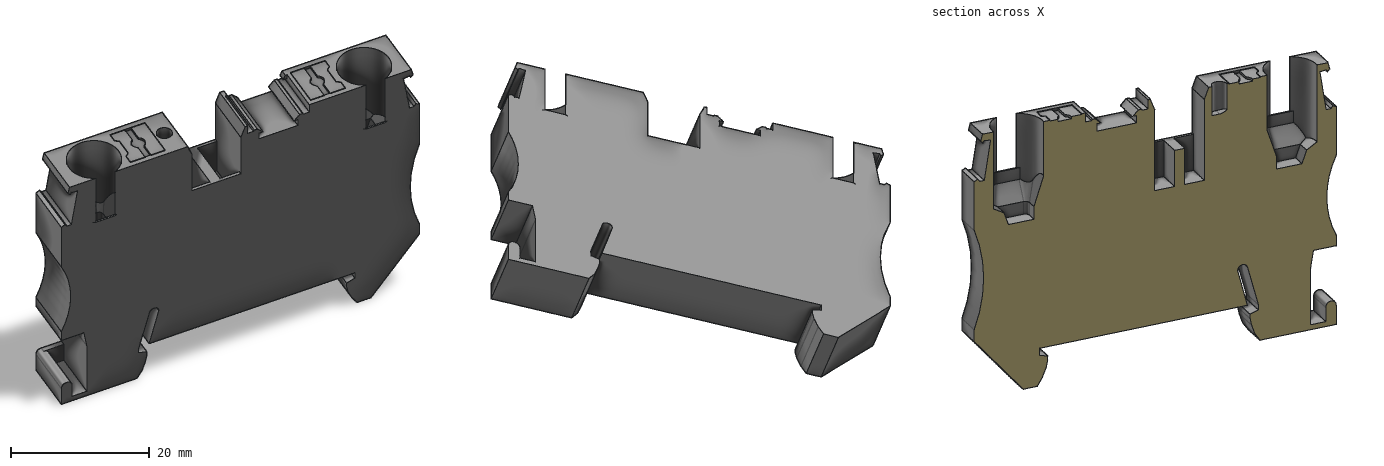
import cadquery as cq
import math

THICKNESS = 8.15
LENGTH = 57.75
HEIGHT = 42.2
END_Y = LENGTH / 2
SIDE_X = THICKNESS / 2

LEDGE_RIDGE_Z = 35.15
LEDGE_END_Z = 34.85
SCALLOP_TOP_Z = 27.1
SCALLOP_BOTTOM_Z = 11.2
FAR_SCALLOP_BOTTOM_Z = 14.3
SCALLOP_DEPTH = 1.5

SLOT_MIN_Y = -7.8
SLOT_MAX_Y = 0.05
SLOT_FLOOR_Z = 33.25
SLOT_FLARE = 0.7
SLOT_FLARE_Z = 40.4
POCKET_LENGTH = 3.1
POCKET_WIDTH = 7.15
POCKET_DEPTH = 5.8

MARKER_Y = 6.1
MARKER_WALL = 4.95
MARKER_SHELF_Z = 40.75
MARKER_LIP_Z = 40.0
MARKER_FLOOR_Z = 38.9
HOOK_Z = 41.45
HOOK_ROOT = 4.7
HOOK_REACH = 4.35
HOOK_WIDTH = 1.05

RAIL_CEILING_Z = 6.0

LUG_TOP_Z = 4.0
LUG_RADIUS = 0.85
LUG_INNER_Y = -24.75
LUG_WALL = 0.8
LUG_POCKET_FLOOR_Z = 0.85

ENTRY_X = 0.4
ENTRY_Y = 21.75
ENTRY_RADIUS = 4.0
ENTRY_DEPTH = 8.65
FUNNEL_DEPTH = 4.6
FUNNEL_MAX_X = 3.8
FUNNEL_SLOPE_MINUS_X = 51
FUNNEL_SLOPE_PLUS_X = 58
FUNNEL_SLOPE_OUTER = 30
FUNNEL_SLOPE_INNER = 71.5
FUNNEL_MOUTH_RADIUS = 2.0
WELL_HALF_WIDTH = 2.1
WELL_INNER_Y = 19.35
WELL_OUTER_Y = 24.1
WELL_RADIUS = 0.65
WELL_DEPTH = 2.0
WELL_SLOPE_OUTER = 70

PANEL_WIDTH = 6.45
PANEL_INNER_Y = 11.7
PANEL_OUTER_Y = 17.3
PANEL_DEPTH = 0.1
PANEL_NOTCH_MOUTH = 3.7
PANEL_NOTCH_FLOOR = 2.75
PANEL_NOTCH_DEPTH = 0.6
DRIVER_Y = 14.45
DRIVER_SLOT_WIDTH = 1.0
DRIVER_RADIUS = 1.05
DRIVER_DEPTH = 0.45

PROBE_Y = -10.2
PROBE_RADIUS = 1.15
PROBE_DEPTH = 4.6
PROBE_FLOOR_RADIUS = 1.75

QUARTER_MID = math.sqrt(0.5)


def extrude_side(outline, width=THICKNESS):
    """Extrude a closed Y-Z outline in +X from the -X side."""
    return outline.close().extrude(width).translate((-SIDE_X, 0, 0))


def end_points(side):
    """Points down one end, from the top face to the ledge; side is +1 or -1 in Y."""
    points = [
        (27.55, HEIGHT),
        (27.8, 41.1),
        (27.4, 40.7),
        (27.25, 41.05),
        (26.25, 40.95),
        (27.25, 34.75),
        (27.95, 34.75),
        (28.3, LEDGE_RIDGE_Z),
        (END_Y, LEDGE_END_Z),
        (END_Y, SCALLOP_TOP_Z),
    ]
    return [(side * y, z) for y, z in points]


def marker_points(side):
    """Points down one flank of the marker groove; side is +1 or -1 from its centre."""
    points = [
        (MARKER_WALL, HEIGHT),
        (MARKER_WALL, MARKER_SHELF_Z),
        (4.05, MARKER_SHELF_Z),
        (3.85, 40.95),
        (3.4, 40.95),
        (2.5, MARKER_LIP_Z),
        (3.1, MARKER_LIP_Z),
        (3.1, MARKER_FLOOR_Z),
    ]
    return [(MARKER_Y + side * offset, z) for offset, z in points]


def make_body():
    """Side outline, run from the marker groove over the +Y end, foot and -Y end and back."""
    scallop_y = END_Y - SCALLOP_DEPTH

    outline = cq.Workplane("YZ").polyline(marker_points(1)[::-1] + end_points(1))
    outline = outline.threePointArc(
        (scallop_y, (SCALLOP_TOP_Z + SCALLOP_BOTTOM_Z) / 2), (END_Y, SCALLOP_BOTTOM_Z)
    )
    for point in [
        (END_Y, 9.3),
        (21.0, 0),
        (18.75, 0),
        (17.95, 1.25),
        (17.3, 2.75),
        (17.1, 3.85),
        (17.1, 4.55),
        (18.4, 4.95),
        (18.4, RAIL_CEILING_Z),
        (-14.7, RAIL_CEILING_Z),
        (-13.15, 11.9),
    ]:
        outline = outline.lineTo(*point)
    outline = outline.threePointArc((-13.8, 12.65), (-14.65, 12.1))
    for point in [
        (-16.4, 5.8),
        (-16.4, 4.95),
        (-15.05, 4.55),
        (-15.05, 3.85),
        (-15.3, 2.75),
        (-15.8, 1.25),
        (-16.7, 0),
        (-END_Y, 0),
        (-END_Y, LUG_TOP_Z - LUG_RADIUS),
    ]:
        outline = outline.lineTo(*point)
    outline = outline.tangentArcPoint((LUG_RADIUS - END_Y, LUG_TOP_Z), relative=False)
    for point in [
        (LUG_INNER_Y, LUG_TOP_Z),
        (LUG_INNER_Y, 9.8),
        (-25.2, 12.6),
        (-END_Y, 12.6),
        (-END_Y, FAR_SCALLOP_BOTTOM_Z),
    ]:
        outline = outline.lineTo(*point)
    outline = outline.threePointArc(
        (-scallop_y, (SCALLOP_TOP_Z + FAR_SCALLOP_BOTTOM_Z) / 2), (-END_Y, SCALLOP_TOP_Z)
    )
    bridge_slot = [
        (SLOT_MIN_Y - SLOT_FLARE, HEIGHT),
        (SLOT_MIN_Y, SLOT_FLARE_Z),
        (SLOT_MIN_Y, SLOT_FLOOR_Z),
        (SLOT_MAX_Y, SLOT_FLOOR_Z),
        (SLOT_MAX_Y, SLOT_FLARE_Z),
        (SLOT_MAX_Y + SLOT_FLARE, HEIGHT),
    ]
    for point in end_points(-1)[-2::-1] + bridge_slot + marker_points(-1):
        outline = outline.lineTo(*point)
    return extrude_side(outline)


def make_hook(side):
    """Short hook over the marker groove, at the -X side only."""
    points = [
        (MARKER_WALL, HEIGHT),
        (HOOK_ROOT, HEIGHT),
        (HOOK_REACH, HOOK_Z),
        (MARKER_WALL, HOOK_Z),
    ]
    outline = cq.Workplane("YZ").polyline([(MARKER_Y + side * offset, z) for offset, z in points])
    return extrude_side(outline, HOOK_WIDTH)


def top_prism(outline, depth):
    """Cutter sunk into the top face from an X-Y outline drawn at Z = 0."""
    return outline.extrude(-depth).translate((0, 0, HEIGHT))


def make_pockets():
    """Two equal pockets, one against each wall of the bridge slot."""
    pitch = SLOT_MAX_Y - SLOT_MIN_Y - POCKET_LENGTH
    slot_y = (SLOT_MIN_Y + SLOT_MAX_Y) / 2
    return (
        cq.Workplane("XY")
        .workplane(offset=SLOT_FLOOR_Z)
        .pushPoints([(0, slot_y - pitch / 2), (0, slot_y + pitch / 2)])
        .rect(POCKET_WIDTH, POCKET_LENGTH)
        .extrude(-POCKET_DEPTH)
    )


def make_lug_pocket():
    """Hollow behind the round-topped bar, leaving a wall at the -X side."""
    bar_y = LUG_RADIUS - END_Y
    bar_shoulder_z = LUG_TOP_Z - LUG_RADIUS
    diagonal = LUG_RADIUS * QUARTER_MID
    outline = (
        cq.Workplane("YZ")
        .moveTo(bar_y, LUG_TOP_Z)
        .threePointArc(
            (bar_y + diagonal, bar_shoulder_z + diagonal),
            (bar_y + LUG_RADIUS, bar_shoulder_z),
        )
        .lineTo(bar_y + LUG_RADIUS, LUG_POCKET_FLOOR_Z)
        .lineTo(LUG_INNER_Y, LUG_POCKET_FLOOR_Z)
        .lineTo(LUG_INNER_Y, LUG_TOP_Z)
    )
    return extrude_side(outline).translate((LUG_WALL, 0, 0))


def spread(depth, slope):
    """Sideways run of a wall that leans at slope degrees from horizontal."""
    return depth / math.tan(math.radians(slope))


def entry_section(outline, min_x, max_x, inner_y, outer_y, radius):
    """Rectangle with its two inner corners rounded."""
    bulge = radius * (1 - QUARTER_MID)
    return (
        outline.moveTo(min_x, outer_y)
        .lineTo(min_x, inner_y + radius)
        .threePointArc((min_x + bulge, inner_y + bulge), (min_x + radius, inner_y))
        .lineTo(max_x - radius, inner_y)
        .threePointArc((max_x - bulge, inner_y + bulge), (max_x, inner_y + radius))
        .lineTo(max_x, outer_y)
        .close()
    )


def make_entry():
    """Round bore at the +Y end, narrowing through a funnel into a rectangular well."""
    bore_floor_z = HEIGHT - ENTRY_DEPTH
    well_top_z = bore_floor_z - FUNNEL_DEPTH
    well_floor_z = well_top_z - WELL_DEPTH
    axis = cq.Workplane("XY").center(ENTRY_X, ENTRY_Y)
    bore = top_prism(axis.circle(ENTRY_RADIUS), ENTRY_DEPTH)
    envelope = top_prism(axis.circle(ENTRY_RADIUS), HEIGHT - well_floor_z)

    well_walls = (-WELL_HALF_WIDTH, WELL_HALF_WIDTH, WELL_INNER_Y)
    funnel = entry_section(
        cq.Workplane("XY").workplane(offset=well_top_z), *well_walls, WELL_OUTER_Y, WELL_RADIUS
    )
    funnel = entry_section(
        funnel.workplane(offset=FUNNEL_DEPTH),
        -WELL_HALF_WIDTH - spread(FUNNEL_DEPTH, FUNNEL_SLOPE_MINUS_X),
        WELL_HALF_WIDTH + spread(FUNNEL_DEPTH, FUNNEL_SLOPE_PLUS_X),
        WELL_INNER_Y - spread(FUNNEL_DEPTH, FUNNEL_SLOPE_INNER),
        WELL_OUTER_Y + spread(FUNNEL_DEPTH, FUNNEL_SLOPE_OUTER),
        FUNNEL_MOUTH_RADIUS,
    ).loft(ruled=True)

    well_floor_outer_y = WELL_OUTER_Y - spread(WELL_DEPTH, WELL_SLOPE_OUTER)
    well = entry_section(
        cq.Workplane("XY").workplane(offset=well_floor_z), *well_walls, well_floor_outer_y, WELL_RADIUS
    )
    well = entry_section(
        well.workplane(offset=WELL_DEPTH), *well_walls, WELL_OUTER_Y, WELL_RADIUS
    ).loft(ruled=True)
    beyond_wall = cq.Workplane("XY").box(LENGTH, LENGTH, HEIGHT, centered=(False, True, False))
    funnel = funnel.intersect(envelope).cut(beyond_wall.translate((FUNNEL_MAX_X, 0, 0)))
    return bore.union(funnel).union(well)


def make_panel():
    """Engraved screwdriver symbol at the +Y end: shallow panel with a deeper slotted disc."""
    panel = top_prism(
        cq.Workplane("XY")
        .polyline([
            (-PANEL_WIDTH / 2, PANEL_INNER_Y),
            (PANEL_WIDTH / 2, PANEL_INNER_Y),
            (PANEL_WIDTH / 2, PANEL_OUTER_Y),
            (PANEL_NOTCH_MOUTH / 2, PANEL_OUTER_Y),
            (PANEL_NOTCH_FLOOR / 2, PANEL_OUTER_Y - PANEL_NOTCH_DEPTH),
            (-PANEL_NOTCH_FLOOR / 2, PANEL_OUTER_Y - PANEL_NOTCH_DEPTH),
            (-PANEL_NOTCH_MOUTH / 2, PANEL_OUTER_Y),
            (-PANEL_WIDTH / 2, PANEL_OUTER_Y),
        ])
        .close(),
        PANEL_DEPTH,
    )
    centre = cq.Workplane("XY").center(0, DRIVER_Y)
    slot = top_prism(centre.rect(PANEL_WIDTH, DRIVER_SLOT_WIDTH), DRIVER_DEPTH)
    disc = top_prism(centre.circle(DRIVER_RADIUS), DRIVER_DEPTH)
    return panel.union(slot).union(disc)


def make_probe_hole():
    """Round hole whose floor is flat on the +Y half and curves upward on the -Y half."""
    hole = top_prism(cq.Workplane("XY").center(0, PROBE_Y).circle(PROBE_RADIUS), PROBE_DEPTH)
    floor_z = HEIGHT - PROBE_DEPTH
    roll = (
        cq.Workplane("YZ")
        .center(PROBE_Y, floor_z + PROBE_FLOOR_RADIUS)
        .circle(PROBE_FLOOR_RADIUS)
        .extrude(PROBE_RADIUS, both=True)
    )
    block = (
        cq.Workplane("XY")
        .box(2 * PROBE_RADIUS, PROBE_RADIUS, PROBE_FLOOR_RADIUS, centered=(True, False, False))
        .translate((0, PROBE_Y - PROBE_RADIUS, floor_z))
    )
    return hole.cut(block.cut(roll))


result = make_body()
for side in (1, -1):
    result = result.union(make_hook(side))
result = result.cut(make_pockets()).cut(make_lug_pocket())
for cutter in (make_entry(), make_panel()):
    result = result.cut(cutter).cut(cutter.mirror("XZ"))
result = result.cut(make_probe_hole())